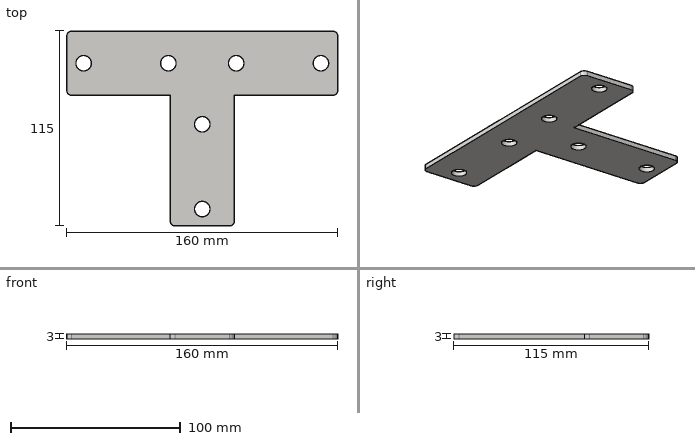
import cadquery as cq

bar_length = 160.0
total_depth = 115.0
arm_width = 38.0
thickness = 3.0
corner_radius = 3.0

hole_diameter = 9.0
hole_end_distance = 10.0
hole_spacing = 50.0

stem_end_y = arm_width / 2 - total_depth


def flat_plate(size_x, size_y, center_y):
    """Rectangular plate centred on X, with its underside at Z = 0."""
    return (
        cq.Workplane("XY")
        .center(0, center_y)
        .rect(size_x, size_y)
        .extrude(thickness)
    )


def tee_plate():
    """Crossbar and stem joined, with the outer corners rounded."""
    crossbar = flat_plate(bar_length, arm_width, 0).edges("|Z").fillet(corner_radius)
    stem = flat_plate(arm_width, -stem_end_y, stem_end_y / 2)
    stem = stem.edges("|Z and <Y").fillet(corner_radius)
    return crossbar.union(stem)


def hole_centers():
    """Two holes in each arm, placed from the free end inward."""
    bar_outer_x = bar_length / 2 - hole_end_distance
    bar_inner_x = bar_outer_x - hole_spacing
    stem_outer_y = stem_end_y + hole_end_distance
    stem_inner_y = stem_outer_y + hole_spacing
    centers = [(0, stem_outer_y), (0, stem_inner_y)]
    for side in (-1, 1):
        centers.append((side * bar_outer_x, 0))
        centers.append((side * bar_inner_x, 0))
    return centers


def bolt_holes():
    """Cylinders that cut the holes through the full thickness."""
    return (
        cq.Workplane("XY")
        .pushPoints(hole_centers())
        .circle(hole_diameter / 2)
        .extrude(thickness)
    )


result = tee_plate().cut(bolt_holes())